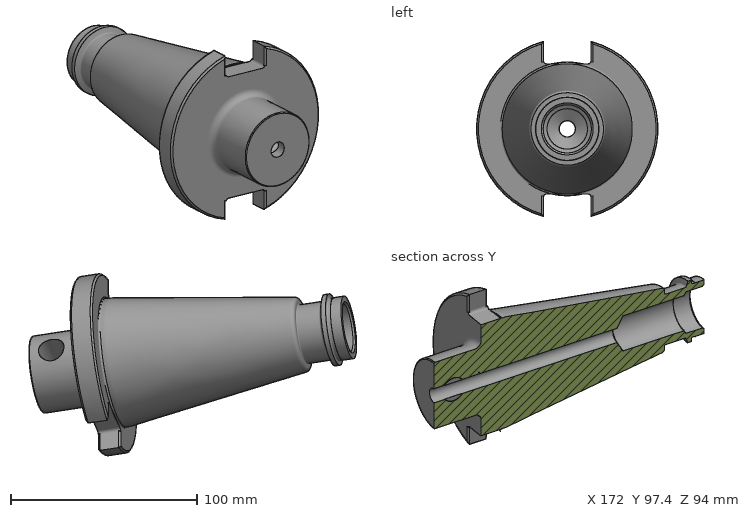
import cadquery as cq
import math

total_length = 172.0

nose_radius = 17.0
undercut_start = 5.8
undercut_depth = 0.2
undercut_radius = nose_radius - undercut_depth
collar_start = 7.9
collar_end = 10.5
collar_radius = 19.5
collar_root_fillet = 0.9
neck_start = 12.2
neck_radius = 16.0
neck_end_fillet = 0.5
collar_back_foot_x = 11.5
collar_back_foot_radius = 16.5

taper_start = 25.0
taper_end = 126.2
gauge_radius = 35.0
taper_slope = 7 / 24 / 2
taper_small_radius = gauge_radius - (taper_end - taper_start) * taper_slope
taper_nose_fillet = 2.4

flange_start = 129.7
flange_end = 142.0
flange_radius = 48.7
flange_chamfer = 1.0
flange_root_fillet = 1.0
slot_width = 25.5
slot_floor = gauge_radius
slot_corner_fillet = 1.7
slot_edge_chamfer = 1.0

hub_radius = 21.0
hub_root_fillet = 3.8
hub_end_chamfer = 0.5
screw_position = 159.5
screw_radius = 7.0

mouth_radius = 12.9
mouth_chamfer = 1.0
mouth_depth = 11.5
mouth_step_length = 1.2
thread_radius = 10.8
thread_depth = 51.6
drill_point_angle = 120.0
through_radius = 4.3
drill_point_length = (thread_radius - through_radius) / math.tan(math.radians(drill_point_angle / 2))


def revolve_about_x(profile):
    """Turn a closed half-section, drawn in the XY plane, about the X axis."""
    return profile.close().revolve(360, (0, 0, 0), (1, 0, 0))


def make_body():
    profile = (
        cq.Workplane("XY")
        .lineTo(0, nose_radius)
        .lineTo(undercut_start, nose_radius)
        .lineTo(undercut_start, undercut_radius)
        .lineTo(collar_start - collar_root_fillet, undercut_radius)
        .tangentArcPoint((collar_start, undercut_radius + collar_root_fillet), relative=False)
        .lineTo(collar_start, collar_radius)
        .lineTo(collar_end, collar_radius)
        .lineTo(collar_back_foot_x, collar_back_foot_radius)
        .tangentArcPoint((neck_start, neck_radius), relative=False)
        .lineTo(taper_start - neck_end_fillet, neck_radius)
        .tangentArcPoint((taper_start, neck_radius + neck_end_fillet), relative=False)
        .lineTo(taper_start, taper_small_radius)
        .lineTo(taper_end, gauge_radius)
        .lineTo(flange_start - flange_root_fillet, gauge_radius)
        .tangentArcPoint((flange_start, gauge_radius + flange_root_fillet), relative=False)
        .lineTo(flange_start, flange_radius - flange_chamfer)
        .lineTo(flange_start + flange_chamfer, flange_radius)
        .lineTo(flange_end - flange_chamfer, flange_radius)
        .lineTo(flange_end, flange_radius - flange_chamfer)
        .lineTo(flange_end, hub_radius + hub_root_fillet)
        .tangentArcPoint((flange_end + hub_root_fillet, hub_radius), relative=False)
        .lineTo(total_length - hub_end_chamfer, hub_radius)
        .lineTo(total_length, hub_radius - hub_end_chamfer)
        .lineTo(total_length, 0)
    )
    body = revolve_about_x(profile)
    box_margin = 0.2
    box_half_width = taper_small_radius + box_margin
    taper_nose_edges = cq.selectors.BoxSelector(
        (taper_start - box_margin, -box_half_width, -box_half_width),
        (taper_start + box_margin, box_half_width, box_half_width),
        boundingbox=True,
    )
    largest_circle = cq.selectors.RadiusNthSelector(-1)
    return body.edges(taper_nose_edges).edges(largest_circle).fillet(taper_nose_fillet)


def make_bore():
    profile = (
        cq.Workplane("XY")
        .lineTo(0, mouth_radius + mouth_chamfer)
        .lineTo(mouth_chamfer, mouth_radius)
        .lineTo(mouth_depth, mouth_radius)
        .lineTo(mouth_depth + mouth_step_length, thread_radius)
        .lineTo(thread_depth, thread_radius)
        .lineTo(thread_depth + drill_point_length, through_radius)
        .lineTo(total_length, through_radius)
        .lineTo(total_length, 0)
    )
    return revolve_about_x(profile)


def make_slot_edge_chamfer(face_x, inward):
    """Wedge that bevels both slot walls where they meet one flange face.

    inward is the X direction from that face into the flange.
    """
    half_width = slot_width / 2
    bottom = slot_floor + slot_edge_chamfer
    inner_x = face_x + inward * slot_edge_chamfer
    return (
        cq.Workplane("XY", origin=(0, 0, bottom))
        .moveTo(face_x, half_width + slot_edge_chamfer)
        .lineTo(inner_x, half_width)
        .lineTo(inner_x, -half_width)
        .lineTo(face_x, -half_width - slot_edge_chamfer)
        .close()
        .extrude(flange_radius - bottom)
    )


def make_slot():
    """Driving slot across the +Z edge of the flange."""
    slot = (
        cq.Workplane("XY", origin=(flange_start, 0, slot_floor))
        .box(flange_end - flange_start, slot_width, flange_radius - slot_floor, centered=(False, True, False))
        .edges("|X and <Z")
        .fillet(slot_corner_fillet)
    )
    front_chamfer = make_slot_edge_chamfer(flange_start, 1)
    rear_chamfer = make_slot_edge_chamfer(flange_end, -1)
    return slot.union(front_chamfer).union(rear_chamfer)


def make_screw_hole():
    """Radial clamping-screw hole from the +Y side of the hub into the axial bore."""
    return (
        cq.Workplane("XZ", origin=(screw_position, 0, 0))
        .circle(screw_radius)
        .extrude(-hub_radius)
    )


result = make_body().cut(make_bore()).cut(make_screw_hole())
for angle in (0, 180):
    result = result.cut(make_slot().rotate((0, 0, 0), (1, 0, 0), angle))